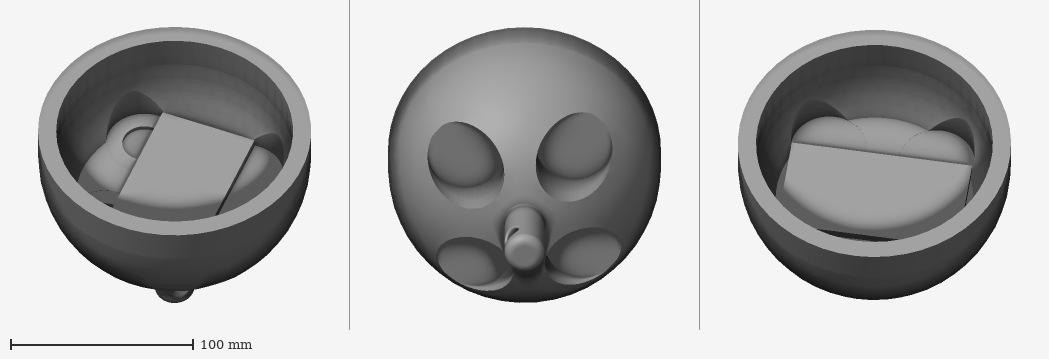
import cadquery as cq

outer_diameter = 150.0
inner_diameter = 130.0
rim_height = 20.0
floor_z = -35.7

well_diameter = 42.2
well_offset = 42.2
disc_thickness = 5.0
disc_drop = 0.2
recess_diameter = 24.2
recess_depth = 2.5

pad_length = 100.2
pad_width = 54.3
pad_height = 5.0
pad_angle = -45

stem_diameter = 22.0
stem_bottom_z = -116.1
stem_end_fillet = 5.0
stem_root_fillet = 1.4
cross_hole_diameter = 10.0
cross_hole_z = -102.9
cross_hole_fillet = 1.0

outer_radius = outer_diameter / 2
inner_radius = inner_diameter / 2
stem_radius = stem_diameter / 2
disc_top_z = floor_z - disc_drop
disc_bottom_z = disc_top_z - disc_thickness

front_wells = [(-well_offset, 0), (0, -well_offset)]
back_wells = [(well_offset, 0), (0, well_offset)]
all_wells = front_wells + back_wells


def round_bottomed(radius):
    """Hemisphere topped by a cylinder that reaches the rim."""
    dome = cq.Workplane("XY").sphere(radius)
    below_center = cq.Workplane("XY").box(
        outer_diameter, outer_diameter, outer_radius, centered=(True, True, False)
    ).translate((0, 0, -outer_radius))
    return dome.intersect(below_center).union(cq.Workplane("XY").circle(radius).extrude(rim_height))


def columns(centers, diameter, bottom_z, top_z):
    """Vertical cylinders at the given centres."""
    base = cq.Workplane("XY").workplane(offset=bottom_z)
    return base.pushPoints(centers).circle(diameter / 2).extrude(top_z - bottom_z)


def make_cavity():
    """Spherical cavity cut off by the flat floor."""
    above_floor = cq.Workplane("XY").workplane(offset=floor_z).circle(inner_radius)
    return round_bottomed(inner_radius).intersect(above_floor.extrude(rim_height - floor_z))


def make_stem():
    """Round-ended stem with a rounded cross hole along X."""
    stem = cq.Workplane("XY").workplane(offset=stem_bottom_z).circle(stem_radius)
    stem = stem.extrude(floor_z - disc_thickness - stem_bottom_z)
    stem = stem.faces("<Z").edges().fillet(stem_end_fillet)
    hole = cq.Workplane("YZ").center(0, cross_hole_z).circle(cross_hole_diameter / 2)
    stem = stem.cut(hole.extrude(stem_radius, both=True))
    hole_reach = cross_hole_diameter / 2 + cross_hole_fillet
    hole_mouths = cq.selectors.BoxSelector(
        (-stem_radius, -hole_reach, cross_hole_z - hole_reach),
        (stem_radius, hole_reach, cross_hole_z + hole_reach),
        boundingbox=False,
    )
    return stem.edges(hole_mouths).fillet(cross_hole_fillet)


def fillet_stem_root(body):
    """Blend the stem into the underside of the bowl."""
    root_z = -(outer_radius**2 - stem_radius**2) ** 0.5
    root = cq.selectors.BoxSelector(
        (-outer_radius, -outer_radius, root_z - stem_root_fillet),
        (outer_radius, outer_radius, root_z + stem_root_fillet),
        boundingbox=True,
    )
    return body.edges(root).edges("%CIRCLE").fillet(stem_root_fillet)


def make_pad():
    """Diagonal pad standing on the discs, so it has no gap beneath it at the wells."""
    pad = cq.Workplane("XY").workplane(offset=disc_top_z).rect(pad_length, pad_width)
    pad = pad.extrude(pad_height + disc_drop)
    return pad.rotate((0, 0, 0), (0, 0, 1), pad_angle)


bowl = round_bottomed(outer_radius).cut(make_cavity())
bowl = fillet_stem_root(bowl.union(make_stem()))

bowl = bowl.cut(columns(all_wells, well_diameter, -outer_radius, disc_bottom_z))
bowl = bowl.cut(columns(all_wells, well_diameter, disc_top_z, 0))
bowl = bowl.cut(columns(front_wells, recess_diameter, disc_top_z - recess_depth, disc_top_z))

result = bowl.union(make_pad())